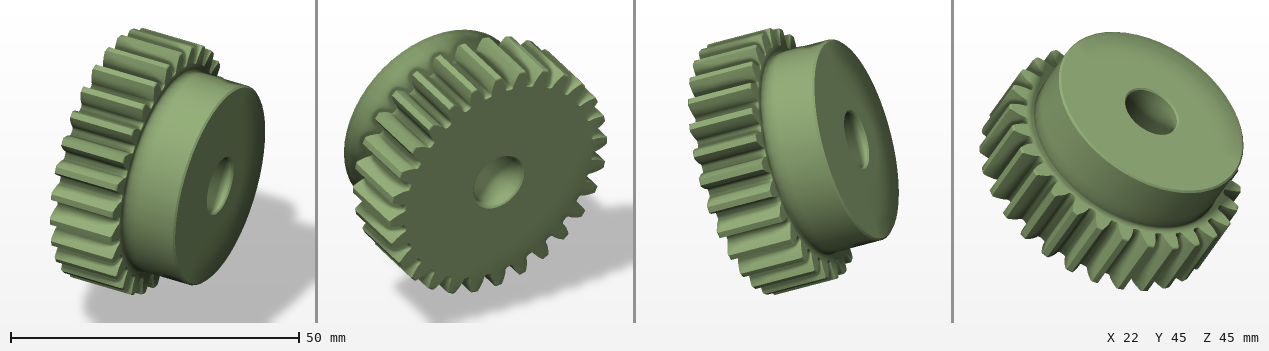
import cadquery as cq
import math

outer_diameter = 45.0
tooth_count = 28
pressure_angle = math.radians(20.0)
module = outer_diameter / (tooth_count + 2)
dedendum = 1.2 * module
tip_radius = outer_diameter / 2
pitch_radius = module * tooth_count / 2
root_radius = pitch_radius - dedendum
base_radius = pitch_radius * math.cos(pressure_angle)
root_fillet = (base_radius**2 - root_radius**2) / (2 * root_radius)
flank_segments = 6

total_length = 22.0
face_width = 12.0

hub_radius = 18.0
bore_radius = 5.0
bore_chamfer = 0.25
hub_chamfer = 0.3
hub_fillet = 0.3

tip_rounding = 0.35


def involute_angle(angle):
    """Involute function of a pressure angle, in radians."""
    return math.tan(angle) - angle


def polar(radius, angle):
    """Point in the gear plane at a radius and an angle."""
    return (radius * math.cos(angle), radius * math.sin(angle))


def flank_offset(radius):
    """Angle between the tooth centreline and its involute flank at a radius."""
    half_tooth = math.pi / (2 * tooth_count)
    roll = math.acos(min(1.0, base_radius / radius))
    return half_tooth + involute_angle(pressure_angle) - involute_angle(roll)


def gear_outline():
    """Closed tooth outline: root fillets, involute flanks and tip arcs."""
    pitch_step = 2 * math.pi / tooth_count
    fillet_centre_radius = root_radius + root_fillet
    fillet_span = math.asin(root_fillet / fillet_centre_radius)
    fillet_offset = flank_offset(base_radius) + fillet_span
    radius_step = (tip_radius - base_radius) / flank_segments
    flank_radii = [base_radius + i * radius_step for i in range(flank_segments + 1)]

    def fillet_middle(centre_angle, side):
        """Point halfway along the fillet on the given side (-1 or 1) of a tooth."""
        centre_y, centre_z = polar(fillet_centre_radius, centre_angle)
        corner_direction = centre_angle - side * (3 * math.pi / 4 + fillet_span / 2)
        step_y, step_z = polar(root_fillet, corner_direction)
        return (centre_y + step_y, centre_z + step_z)

    outline = cq.Workplane("YZ").moveTo(*polar(root_radius, -fillet_offset))
    for tooth in range(tooth_count):
        middle = tooth * pitch_step
        rising = [polar(r, middle - flank_offset(r)) for r in flank_radii]
        falling = [polar(r, middle + flank_offset(r)) for r in reversed(flank_radii)]
        next_root = middle + pitch_step
        outline = (
            outline.threePointArc(fillet_middle(middle - fillet_offset, -1), rising[0])
            .spline(rising[1:], includeCurrent=True)
            .threePointArc(polar(tip_radius, middle), falling[0])
            .spline(falling[1:], includeCurrent=True)
            .threePointArc(
                fillet_middle(middle + fillet_offset, 1),
                polar(root_radius, middle + fillet_offset),
            )
            .threePointArc(
                polar(root_radius, middle + pitch_step / 2),
                polar(root_radius, next_root - fillet_offset),
            )
        )
    return outline.close()


def turn(profile):
    """Revolve a closed profile, drawn as (x, radius), about the X axis."""
    return profile.close().revolve(360, (0, 0, 0), (1, 0, 0))


def toothed_wheel():
    """Gear teeth trimmed by a turned blank that rounds the ends of the tips."""
    rounded_blank = turn(
        cq.Workplane("XY")
        .lineTo(0, tip_radius - tip_rounding)
        .radiusArc((tip_rounding, tip_radius), tip_rounding)
        .lineTo(face_width - tip_rounding, tip_radius)
        .radiusArc((face_width, tip_radius - tip_rounding), tip_rounding)
        .lineTo(face_width, 0)
    )
    return gear_outline().extrude(face_width).intersect(rounded_blank)


def hub():
    """Plain hub with a fillet where it meets the wheel and a chamfered free end."""
    return turn(
        cq.Workplane("XY")
        .moveTo(face_width, 0)
        .lineTo(face_width, hub_radius + hub_fillet)
        .radiusArc((face_width + hub_fillet, hub_radius), -hub_fillet)
        .lineTo(total_length - hub_chamfer, hub_radius)
        .lineTo(total_length, hub_radius - hub_chamfer)
        .lineTo(total_length, 0)
    )


def bore():
    """Through bore, chamfered at both ends."""
    mouth_radius = bore_radius + bore_chamfer
    return turn(
        cq.Workplane("XY")
        .lineTo(0, mouth_radius)
        .lineTo(bore_chamfer, bore_radius)
        .lineTo(total_length - bore_chamfer, bore_radius)
        .lineTo(total_length, mouth_radius)
        .lineTo(total_length, 0)
    )


result = toothed_wheel().union(hub()).cut(bore())